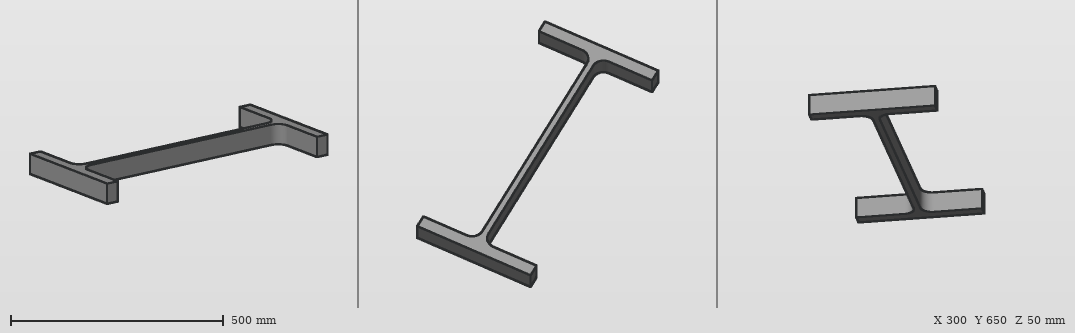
import cadquery as cq

section_depth = 650.0
flange_width = 300.0
beam_length = 50.0
flange_thickness = 31.0
web_thickness = 16.0
root_radius = 27.0

web_height = section_depth - 2 * flange_thickness
flange_offset = (section_depth - flange_thickness) / 2


def make_flange(y_center):
    """Flange plate centred on the web at the given Y position."""
    return cq.Workplane("XY").center(0, y_center).rect(flange_width, flange_thickness).extrude(beam_length)


def make_web():
    """Thin plate that spans between the inner faces of the flanges."""
    return cq.Workplane("XY").rect(web_thickness, web_height).extrude(beam_length)


beam = make_web()
for side in (-1, 1):
    beam = beam.union(make_flange(side * flange_offset))

root_corners = cq.selectors.BoxSelector(
    (-web_thickness, -section_depth / 2 + flange_thickness / 2, -beam_length),
    (web_thickness, section_depth / 2 - flange_thickness / 2, 2 * beam_length),
)
result = beam.edges("|Z").edges(root_corners).fillet(root_radius)